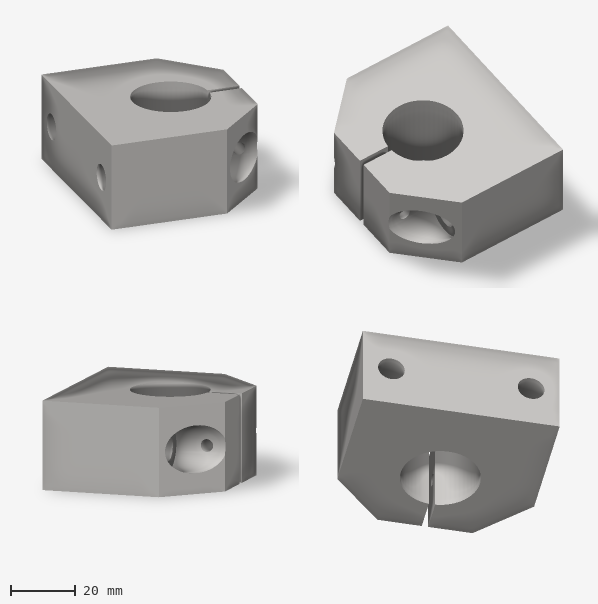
import cadquery as cq

WIDTH = 62.0
LENGTH = 54.0
HEIGHT = 28.0
CORNER_CHAMFER = 16.0

BORE_DIAMETER = 25.0
BORE_FROM_BASE = 31.0
SLOT_WIDTH = 2.0

MOUNT_SPACING = 44.0
MOUNT_DIAMETER = 8.4
COUNTERBORE_DIAMETER = 15.0
COUNTERBORE_DEPTH = CORNER_CHAMFER

CLAMP_DIAMETER = 4.0
CLAMP_FROM_END = 6.0

MID_HEIGHT = HEIGHT / 2


def make_block():
    """Block centred on X, base face at Y = 0, with the two +Y corners cut off."""
    half_width = WIDTH / 2
    shoulder_y = LENGTH - CORNER_CHAMFER
    end_x = half_width - CORNER_CHAMFER
    outline = [
        (-half_width, 0),
        (half_width, 0),
        (half_width, shoulder_y),
        (end_x, LENGTH),
        (-end_x, LENGTH),
        (-half_width, shoulder_y),
    ]
    return cq.Workplane("XY").polyline(outline).close().extrude(HEIGHT)


def make_bore():
    """Vertical shaft bore through the whole height."""
    return cq.Workplane("XY").center(0, BORE_FROM_BASE).circle(BORE_DIAMETER / 2).extrude(HEIGHT)


def make_slot():
    """Clamping slot from the bore axis out through the +Y end."""
    slot_length = LENGTH - BORE_FROM_BASE
    return (
        cq.Workplane("XY")
        .center(0, BORE_FROM_BASE + slot_length / 2)
        .rect(SLOT_WIDTH, slot_length)
        .extrude(HEIGHT)
    )


def cylinder_along_y(diameter, x, start_y, end_y):
    """Cylinder at mid height running along +Y from start_y to end_y."""
    start = cq.Vector(x, start_y, MID_HEIGHT)
    return cq.Solid.makeCylinder(diameter / 2, end_y - start_y, start, cq.Vector(0, 1, 0))


def make_clamp_hole():
    """Clamp screw hole through the full width."""
    start = cq.Vector(-WIDTH / 2, LENGTH - CLAMP_FROM_END, MID_HEIGHT)
    return cq.Solid.makeCylinder(CLAMP_DIAMETER / 2, WIDTH, start, cq.Vector(1, 0, 0))


result = make_block().cut(make_bore()).cut(make_slot()).cut(make_clamp_hole())

for mount_x in (-MOUNT_SPACING / 2, MOUNT_SPACING / 2):
    counterbore_floor = LENGTH - COUNTERBORE_DEPTH
    result = result.cut(cylinder_along_y(MOUNT_DIAMETER, mount_x, 0, LENGTH))
    result = result.cut(cylinder_along_y(COUNTERBORE_DIAMETER, mount_x, counterbore_floor, LENGTH))